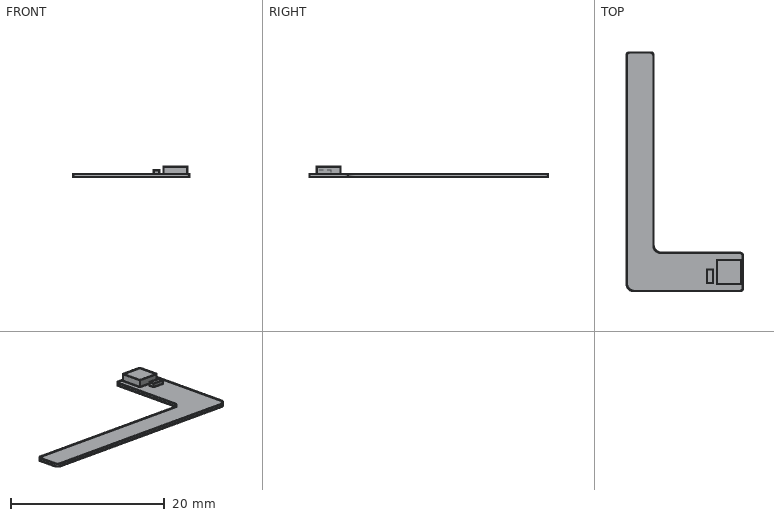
import cadquery as cq

BOARD_LENGTH = 31.05
BOARD_WIDTH = 15.13
ARM_WIDTH = 3.5
FOOT_WIDTH = 5.0
BOARD_THICKNESS = 0.4
BEND_RADIUS = 1.0
END_RADIUS = 0.4

CHIP_SIDE = 3.1
CHIP_HEIGHT = 0.95
CHIP_END_GAP = 0.28
CHIP_BOTTOM_GAP = 0.95

CAPACITOR_WIDTH = 0.75
CAPACITOR_LENGTH = 1.75
CAPACITOR_HEIGHT = 0.5
CAPACITOR_CHIP_GAP = 0.53
CAPACITOR_BOTTOM_GAP = 1.1

CHIP_X = BOARD_WIDTH - CHIP_END_GAP - CHIP_SIDE
CAPACITOR_X = CHIP_X - CAPACITOR_CHIP_GAP - CAPACITOR_WIDTH


def make_board():
    """L-shaped board with rounded bend and rounded ends."""
    bend_corners = [(0, 0), (ARM_WIDTH, FOOT_WIDTH)]
    end_corners = [
        (BOARD_WIDTH, 0),
        (BOARD_WIDTH, FOOT_WIDTH),
        (ARM_WIDTH, BOARD_LENGTH),
        (0, BOARD_LENGTH),
    ]
    outline = [
        bend_corners[0],
        *end_corners[:2],
        bend_corners[1],
        *end_corners[2:],
    ]
    board = cq.Workplane("XY").polyline(outline).close().extrude(BOARD_THICKNESS)
    for corners, radius in ((bend_corners, BEND_RADIUS), (end_corners, END_RADIUS)):
        for x, y in corners:
            corner_edge = cq.selectors.NearestToPointSelector((x, y, BOARD_THICKNESS / 2))
            board = board.edges("|Z").edges(corner_edge).fillet(radius)
    return board


def make_component(x, y, width, length, height):
    """Rectangular component resting on the board, placed by its lower-left corner."""
    return (
        cq.Workplane("XY")
        .box(width, length, height, centered=False)
        .translate((x, y, BOARD_THICKNESS))
    )


board = make_board()
chip = make_component(CHIP_X, CHIP_BOTTOM_GAP, CHIP_SIDE, CHIP_SIDE, CHIP_HEIGHT)
capacitor = make_component(
    CAPACITOR_X,
    CAPACITOR_BOTTOM_GAP,
    CAPACITOR_WIDTH,
    CAPACITOR_LENGTH,
    CAPACITOR_HEIGHT,
)

result = cq.Compound.makeCompound([board.val(), chip.val(), capacitor.val()])